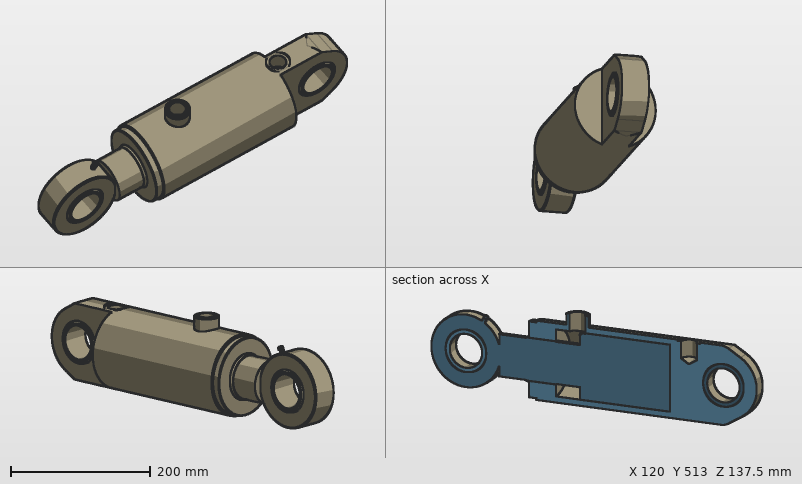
import cadquery as cq
import math


pin_spacing = 405.0
front_pin_y = -pin_spacing
eye_width = 40.0
rear_eye_radius = 53.0
rod_eye_radius = 55.0
rod_eye_chamfer = 1.5

bush_diameter = 63.0
bush_face_diameter = 56.5
bush_bore = 50.0
bush_width = 43.0
bush_taper_length = 5.5

barrel_diameter = 120.0
barrel_radius = barrel_diameter / 2
bore_diameter = 100.0
head_diameter = 115.0
collar_diameter = 68.5
collar_tip_diameter = 65.0
rod_diameter = 64.0
shoulder_y = -63.5
bore_bottom_y = -84.0
piston_front_y = -226.0
head_inner_y = -263.0
barrel_end_y = -295.0
head_end_y = -306.0
collar_end_y = -311.0
rod_end_y = -353.0

edge_chamfer = 1.0

flank_angle = 31.0
flank_blend_radius = 23.0

port_bore = 24.0
drill_point_angle = 118.0
rear_port_y = -54.5
spotface_diameter = 35.0
spotface_flat_width = 29.5
rear_port_depth = 25.5
front_port_y = -229.5
boss_diameter = 36.0
boss_top_z = 77.5
boss_chamfer = 2.5
boss_chamfer_height = 1.5

notch_radius = 3.5
notch_depth = 3.5

nipple_lean = 30.0
nipple_base_diameter = 6.0
nipple_neck_diameter = 4.0
nipple_head_diameter = 7.0
nipple_tip_diameter = 3.0
nipple_root = 49.5
nipple_base_top = 58.5
nipple_neck_bottom = 59.5
nipple_neck_top = 61.0
nipple_head_top = 64.0
nipple_tip_top = 65.0


def cylinder_y(diameter, y_rear, y_front):
    """Solid cylinder on the Y axis between two stations."""
    return cq.Workplane("XZ", origin=(0, y_rear, 0)).circle(diameter / 2).extrude(y_rear - y_front)


def cylinder_x(diameter, length, y):
    """Solid cylinder parallel to X, centred on the plane X = 0."""
    return cq.Workplane("YZ", origin=(-length / 2, y, 0)).circle(diameter / 2).extrude(length)


def cylinder_z(diameter, y, z_bottom, z_top):
    """Solid upright cylinder."""
    return cq.Workplane("XY", origin=(0, y, z_bottom)).circle(diameter / 2).extrude(z_top - z_bottom)


def make_rear_eye():
    """Flat tongue with a rounded end, trimmed to the barrel diameter."""
    angle = math.radians(flank_angle)
    tangent_y = rear_eye_radius * math.sin(angle)
    tangent_z = rear_eye_radius * math.cos(angle)
    blend_rise = flank_blend_radius * (1 - math.cos(angle))
    flank_z = barrel_radius - blend_rise
    flank_y = tangent_y - (flank_z - tangent_z) / math.tan(angle)
    blend_y = flank_y - flank_blend_radius * math.sin(angle)
    half_angle = angle / 2
    blend_mid_y = blend_y + flank_blend_radius * math.sin(half_angle)
    blend_mid_z = barrel_radius - flank_blend_radius * (1 - math.cos(half_angle))
    tongue = (
        cq.Workplane("YZ")
        .moveTo(shoulder_y, -barrel_radius)
        .lineTo(blend_y, -barrel_radius)
        .threePointArc((blend_mid_y, -blend_mid_z), (flank_y, -flank_z))
        .lineTo(tangent_y, -tangent_z)
        .threePointArc((rear_eye_radius, 0), (tangent_y, tangent_z))
        .lineTo(flank_y, flank_z)
        .threePointArc((blend_mid_y, blend_mid_z), (blend_y, barrel_radius))
        .lineTo(shoulder_y, barrel_radius)
        .close()
        .extrude(eye_width / 2, both=True)
    )
    envelope = cylinder_y(barrel_diameter, rear_eye_radius, shoulder_y)
    return tongue.intersect(envelope)


def cut_rear_port(body):
    """Spotface and blind drilled port on top, beside the shoulder."""
    spotface_z = math.sqrt(barrel_radius**2 - (spotface_flat_width / 2) ** 2)
    floor_z = spotface_z - rear_port_depth
    point_depth = port_bore / 2 / math.tan(math.radians(drill_point_angle / 2))
    drill = (
        cq.Workplane("XZ", origin=(0, rear_port_y, 0))
        .moveTo(0, floor_z - point_depth)
        .lineTo(port_bore / 2, floor_z)
        .lineTo(port_bore / 2, barrel_radius)
        .lineTo(0, barrel_radius)
        .close()
        .revolve(360, (0, 0, 0), (0, 1, 0))
    )
    spotface = cylinder_z(spotface_diameter, rear_port_y, spotface_z, barrel_radius)
    return body.cut(spotface).cut(drill)


def make_port_boss():
    """Upright boss with a chamfered rim, starting inside the barrel wall."""
    wall_z = (bore_diameter / 2 + barrel_radius) / 2
    boss = cylinder_z(boss_diameter, front_port_y, wall_z, boss_top_z)
    return boss.faces(">Z").chamfer(boss_chamfer_height, boss_chamfer)


def make_collar():
    """Collar on the head, tapering toward the rod eye."""
    return (
        cq.Workplane("XZ", origin=(0, head_end_y, 0))
        .circle(collar_diameter / 2)
        .workplane(offset=head_end_y - collar_end_y)
        .circle(collar_tip_diameter / 2)
        .loft()
    )


def make_housing():
    """Barrel with rear eye, head and both oil ports."""
    barrel = cylinder_y(barrel_diameter, shoulder_y, barrel_end_y).faces("<Y").chamfer(edge_chamfer)
    head = cylinder_y(head_diameter, barrel_end_y, head_end_y).faces("<Y").chamfer(edge_chamfer)
    body = make_rear_eye().union(barrel).union(head).union(make_collar()).union(make_port_boss())
    body = body.cut(cylinder_y(bore_diameter, bore_bottom_y, head_inner_y))
    body = body.cut(cylinder_y(rod_diameter, head_inner_y, collar_end_y))
    body = body.cut(cylinder_z(port_bore, front_port_y, 0, boss_top_z))
    body = body.cut(cylinder_x(bush_diameter, eye_width, 0))
    return cut_rear_port(body)


def make_grease_nipple():
    """Turned nipple, rooted in the rod eye and pointing radially outward."""
    nipple = (
        cq.Workplane("XZ", origin=(0, front_pin_y, 0))
        .moveTo(0, nipple_root)
        .lineTo(nipple_base_diameter / 2, nipple_root)
        .lineTo(nipple_base_diameter / 2, nipple_base_top)
        .lineTo(nipple_neck_diameter / 2, nipple_neck_bottom)
        .lineTo(nipple_neck_diameter / 2, nipple_neck_top)
        .lineTo(nipple_head_diameter / 2, nipple_neck_top)
        .lineTo(nipple_head_diameter / 2, nipple_head_top)
        .lineTo(nipple_tip_diameter / 2, nipple_tip_top)
        .lineTo(0, nipple_tip_top)
        .close()
        .revolve(360, (0, 0, 0), (0, 1, 0))
    )
    return nipple.rotate((0, front_pin_y, 0), (1, front_pin_y, 0), -nipple_lean)


def make_piston():
    """Piston filling the bore, with a conical notch in its front edge."""
    notch = cq.Solid.makeCone(
        0, notch_radius, notch_depth, cq.Vector(0, piston_front_y, bore_diameter / 2 - notch_depth)
    )
    return cylinder_y(bore_diameter, bore_bottom_y, piston_front_y).cut(cq.Workplane(notch))


def make_rod():
    """Piston, rod and rod eye with its grease nipple."""
    shaft = cylinder_y(rod_diameter, piston_front_y, rod_end_y)
    eye = cylinder_x(2 * rod_eye_radius, eye_width, front_pin_y).faces("<X or >X").chamfer(rod_eye_chamfer)
    body = make_piston().union(shaft).union(eye).union(make_grease_nipple())
    return body.cut(cylinder_x(bush_diameter, eye_width, front_pin_y))


def make_bush(pin_y):
    """Pin bush standing proud of both eye faces with tapered ends."""
    taper = (bush_diameter - bush_face_diameter) / 2
    bush = cylinder_x(bush_diameter, bush_width, pin_y).faces("<X or >X").chamfer(bush_taper_length, taper)
    return bush.cut(cylinder_x(bush_bore, bush_width, pin_y))


housing = make_housing()
rod = make_rod()
bushes = [make_bush(pin_y) for pin_y in (0, front_pin_y)]

bodies = [housing, rod, *bushes]
result = cq.Compound.makeCompound([body.solids().val() for body in bodies])